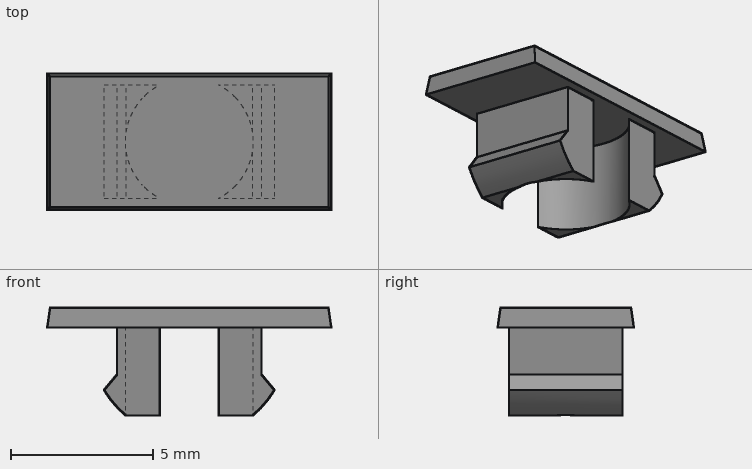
import cadquery as cq
import math

plate_length = 10.0
plate_width = 4.8
plate_thickness = 0.7
plate_top_inset = 0.1
plate_draft_angle = math.degrees(math.atan2(plate_top_inset, plate_thickness))

total_height = 3.8
leg_height = total_height - plate_thickness
leg_width = 4.0
leg_outer_x = 2.55

shoulder_height = 1.44
barb_tip_x = 3.0
barb_tip_height = 0.9
foot_x = 2.225
lead_in_radius = 3.5

bore_diameter = 4.5


def make_plate():
    """Plate with its underside on Z = leg_height."""
    return (
        cq.Workplane("XY")
        .workplane(offset=leg_height)
        .rect(plate_length, plate_width)
        .extrude(plate_thickness, taper=plate_draft_angle)
    )


def lead_in_midpoint():
    """Middle of the convex arc between the barb tip and the foot."""
    run = barb_tip_x - foot_x
    chord = math.hypot(run, barb_tip_height)
    bulge = lead_in_radius - math.sqrt(lead_in_radius**2 - (chord / 2) ** 2)
    mid_x = (barb_tip_x + foot_x) / 2 + bulge * barb_tip_height / chord
    mid_z = barb_tip_height / 2 - bulge * run / chord
    return mid_x, mid_z


def make_legs():
    """Symmetric barbed block, split into two legs by the bore."""
    mid_x, mid_z = lead_in_midpoint()
    block = (
        cq.Workplane("XZ")
        .moveTo(-leg_outer_x, leg_height)
        .lineTo(leg_outer_x, leg_height)
        .lineTo(leg_outer_x, shoulder_height)
        .lineTo(barb_tip_x, barb_tip_height)
        .threePointArc((mid_x, mid_z), (foot_x, 0))
        .lineTo(-foot_x, 0)
        .threePointArc((-mid_x, mid_z), (-barb_tip_x, barb_tip_height))
        .lineTo(-leg_outer_x, shoulder_height)
        .close()
        .extrude(leg_width / 2, both=True)
    )
    bore = cq.Workplane("XY").circle(bore_diameter / 2).extrude(leg_height)
    return block.cut(bore)


result = make_plate().union(make_legs())